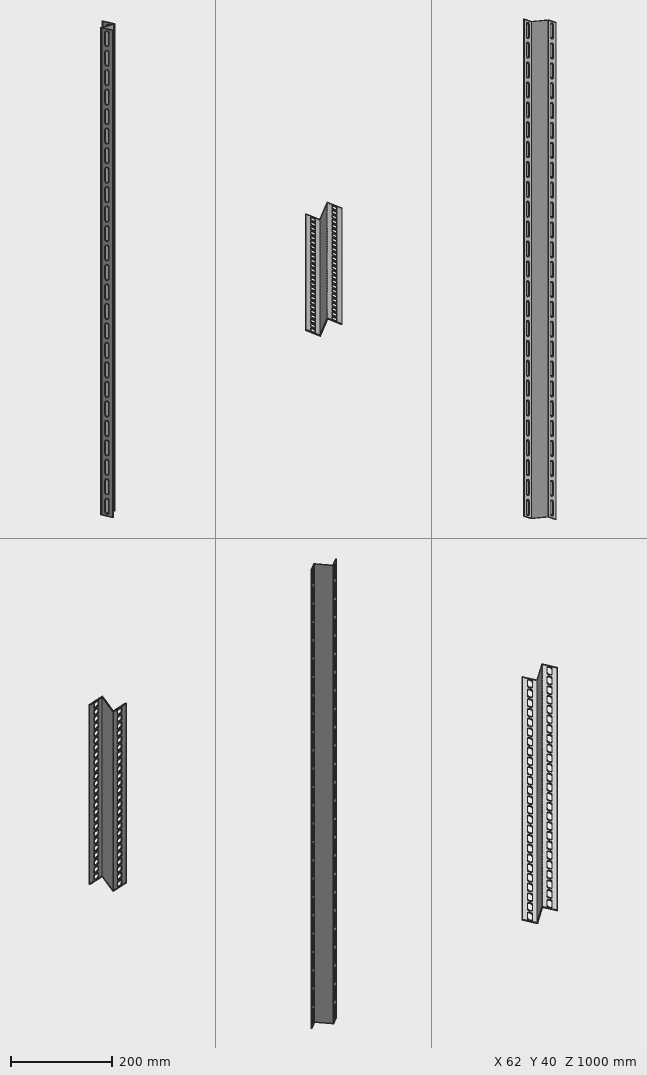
import cadquery as cq

length = 1000.0
overall_width = 62.0
overall_depth = 40.0
thickness = 2.0

slot_count = 25
slot_length = 32.0
slot_width = 10.0
slot_pitch = length / slot_count

flange_width = (overall_width + thickness) / 2
flange_center = (overall_width - flange_width) / 2


def plate(width, depth, x, y):
    """Flat strip running the full length, centred on x and y."""
    return cq.Workplane("XY").center(x, y).rect(width, depth).extrude(length)


def slot_row(x):
    """Column of round-ended cutters that pass through a flange centred on x."""
    return (
        cq.Workplane("XZ", origin=(x, 0, length / 2))
        .rarray(10, slot_pitch, 1, slot_count)
        .slot2D(slot_length, slot_width, angle=90)
        .extrude(overall_depth, both=True)
    )


result = plate(thickness, overall_depth, 0, 0)
for side in (-1, 1):
    flange_y = -side * (overall_depth - thickness) / 2
    result = result.union(plate(flange_width, thickness, side * flange_center, flange_y))

for side in (-1, 1):
    result = result.cut(slot_row(side * flange_center))